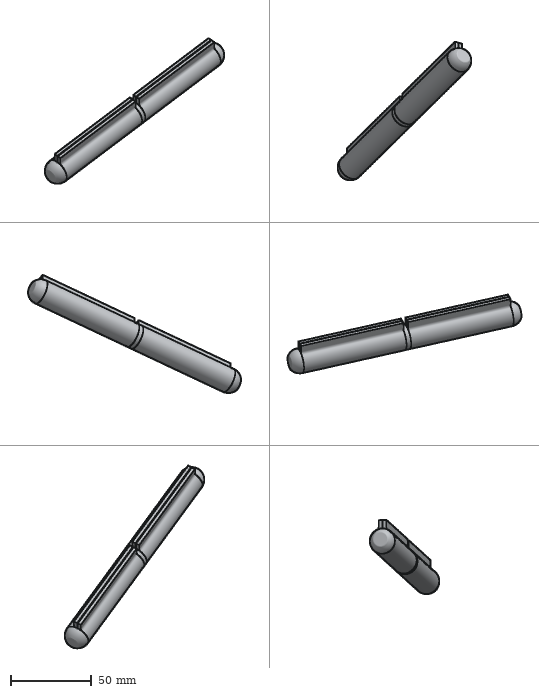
import cadquery as cq
import math


hinge_length = 152.0
outer_diameter = 16.0
overall_height = 21.5
head_length = 6.5
head_edge_radius = 1.0
collar_length = 3.0
sheet_thickness = 2.3
slit_width = 0.5
root_radius = 2.0

outer_radius = outer_diameter / 2
shaft_radius = outer_radius - sheet_thickness
head_start = hinge_length / 2 - head_length
collar_half = collar_length / 2
leaf_length = head_start - collar_half
tab_top = overall_height - outer_radius
tab_pair_width = slit_width + 2 * sheet_thickness


def cylinder_along_y(radius, start_y, length):
    """Solid cylinder on the Y axis, running from start_y along +Y."""
    return cq.Workplane("XZ", origin=(0, start_y, 0)).circle(radius).extrude(-length)


def plate_along_y(width, start_y, length):
    """Upright plate centred on X = 0, from the Y axis up to the tab tops."""
    plate = cq.Workplane("XY").box(width, length, tab_top, centered=(True, False, False))
    return plate.translate((0, start_y, 0))


def make_head():
    """Half ball at the +Y end, cut flat at the hinge end and rounded at the rim."""
    flat_radius = math.sqrt(outer_radius**2 - head_length**2)
    mid_angle = math.asin(head_length / outer_radius) / 2
    arc_middle = (outer_radius * math.cos(mid_angle), outer_radius * math.sin(mid_angle))
    head = (
        cq.Workplane("XY")
        .moveTo(0, 0)
        .lineTo(outer_radius, 0)
        .threePointArc(arc_middle, (flat_radius, head_length))
        .lineTo(0, head_length)
        .close()
        .revolve(360, (0, 0, 0), (0, 1, 0))
    )
    rounded_head = head.faces(">Y").edges().fillet(head_edge_radius)
    return rounded_head.translate((0, head_start, 0))


def make_pin():
    """Shaft with a head at each end and a collar that keeps the leaves apart."""
    shaft = cylinder_along_y(shaft_radius, -head_start, 2 * head_start)
    collar = cylinder_along_y(outer_radius, -collar_half, collar_length)
    head = make_head()
    return shaft.union(collar).union(head).union(head.mirror("XZ"))


def make_leaf(start_y):
    """Rolled knuckle with two parallel tabs, running from start_y along +Y."""
    knuckle = cylinder_along_y(outer_radius, start_y, leaf_length)
    tabs = plate_along_y(tab_pair_width, start_y, leaf_length)

    root_z = math.sqrt(outer_radius**2 - (tab_pair_width / 2) ** 2)
    blank = knuckle.union(tabs)
    for side in (-1, 1):
        root_point = (side * tab_pair_width / 2, start_y + leaf_length / 2, root_z)
        blank = blank.edges(cq.selectors.NearestToPointSelector(root_point)).fillet(root_radius)

    bore = cylinder_along_y(shaft_radius, start_y, leaf_length)
    slit = plate_along_y(slit_width, start_y, leaf_length)
    return blank.cut(bore).cut(slit)


pin = make_pin()
leaves = [make_leaf(start_y) for start_y in (-head_start, collar_half)]

result = cq.Compound.makeCompound([pin.val(), *[leaf.val() for leaf in leaves]])